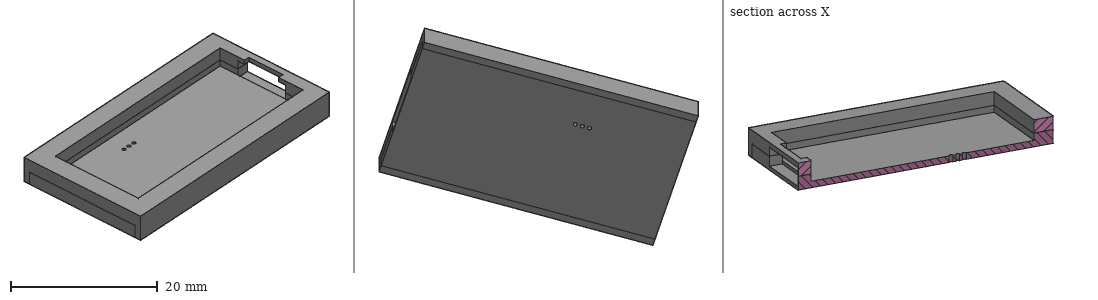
import cadquery as cq

case_width = 21.1
case_length = 39.0
case_height = 4.0

side_wall = 1.0
base_width = case_width - 2 * side_wall
base_height = case_height / 2

cavity_width = 15.0
cavity_length = 34.0
rear_wall = 2.0
floor_thickness = 1.0
rear_y = case_length / 2
cavity_rear_y = rear_y - rear_wall
cavity_center_y = cavity_rear_y - cavity_length / 2

window_width = 8.58
window_bottom = 0.55
window_top = 3.3
notch_width = 6.15
notch_depth = 0.9

hole_diameter = 0.5
hole_pitch = 1.0
hole_count = 3
hole_x = -4.35
hole_row_center_y = -4.88


def block(width, length, bottom, top, center_y=0.0):
    """Box centred on X = 0, given by its size, centre in Y and Z range."""
    return (
        cq.Workplane("XY", origin=(0, center_y, bottom))
        .rect(width, length)
        .extrude(top - bottom)
    )


def make_cavity():
    return block(cavity_width, cavity_length, floor_thickness, case_height, cavity_center_y)


def make_window():
    center_y = rear_y - rear_wall / 2
    return block(window_width, rear_wall, window_bottom, window_top, center_y)


def make_notch():
    center_y = cavity_rear_y + notch_depth / 2
    return block(notch_width, notch_depth, window_top, case_height, center_y)


def make_cover():
    """Upper frame whose side walls reach down beside the base."""
    body = block(case_width, case_length, 0, case_height)
    channel = block(base_width, case_length, 0, base_height)
    return body.cut(channel).cut(make_cavity()).cut(make_window()).cut(make_notch())


def make_base():
    """Shallow tray that holds the lower half of the cavity and window."""
    body = block(base_width, case_length, 0, base_height)
    holes = (
        cq.Workplane("XY", origin=(hole_x, hole_row_center_y, 0))
        .rarray(0.4, hole_pitch, 1, hole_count)
        .circle(hole_diameter / 2)
        .extrude(floor_thickness)
    )
    return body.cut(make_cavity()).cut(make_window()).cut(holes)


cover = make_cover()
base = make_base()

result = cq.Compound.makeCompound([cover.val(), base.val()])